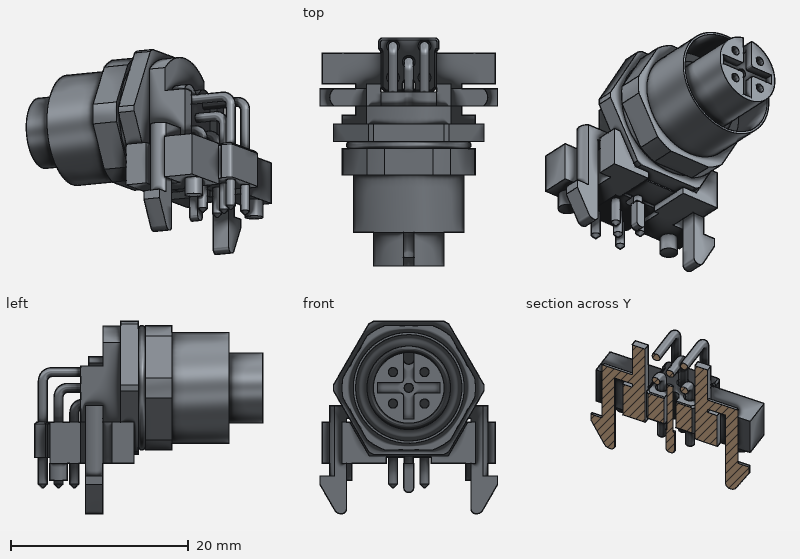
import cadquery as cq
import math


FLANGE_APOTHEM = 7.5
FLANGE_CORNER_RADIUS = 8.48
FLANGE_BACK = 2.0
SEAL_WIDTH = 0.77
NUT_APOTHEM = 7.0
NUT_CORNER_RADIUS = 7.5
NUT_FRONT = -3.75
NUT_BACK = -SEAL_WIDTH
SHELL_RADIUS = 6.25
SHELL_BORE_RADIUS = 6.0
SHELL_FRONT = -10.2
BORE_DEPTH = 5.1
BORE_FLOOR = SHELL_FRONT + BORE_DEPTH

INSERT_RADIUS = 3.98
INSERT_FRONT = -14.0
SLOT_WIDTH = 1.2
SLOT_REACH = 3.5
SLOT_DEPTH = 1.0
SLOT_CORNER_FILLET = 0.25
KEYWAY_BOTTOM = 2.65
CONTACT_OFFSET = 1.77
SOCKET_RADIUS = 0.51
SOCKET_DEPTH = 5.15

CARRIER_HALF_WIDTH = 4.78
CARRIER_RADIUS = 7.0
CARRIER_BACK = 4.0
COLUMN_TOP = 2.47
COLUMN_BACK = 6.5
RECESS_HALF_WIDTH = 3.14
BOSS_RADIUS = 1.67
BOSS_TOP = 3.52
BOSS_VALLEY_RADIUS = 0.6
BOSS_BACK = 5.6

BASE_TOP = -3.85
BASE_BOTTOM = -8.5
FOOT_HALF_WIDTH = 7.5
FOOT_FRONT = 0.5
FOOT_BACK = 3.0
WEB_HALF_WIDTH = 6.0
RAIL_HALF_WIDTH = 9.75
RAIL_BACK = 9.97
POCKET_APOTHEM = 7.68
NOTCH_HALF_WIDTH = 2.52
PEG_RADIUS = 1.0
PEG_OFFSET = 7.4
PEG_BOTTOM = -10.4

CLIP_FRONT = CARRIER_BACK
CLIP_BACK = 6.0
CLIP_TOP = -2.0
CLIP_ARM_BOTTOM = -3.45
CLIP_INNER = 7.0
CLIP_OUTER = 8.9
CLIP_EDGE_BULGE = 0.51
HOOK_REACH = 10.0
HOOK_LEDGE = -9.92
HOOK_SLOPE_START = -10.9
HOOK_SLOPE_ANGLE = 60
HOOK_BOTTOM = -14.19
HOOK_OUTER_FILLET = 0.77
HOOK_INNER_FILLET = 0.6

PIN_RADIUS = 0.51
PIN_BEND_RADIUS = 1.03
PIN_ROW_CENTER = 9.0
PIN_SHOULDER = -10.82
PIN_TIP = -11.25
PIN_TIP_RADIUS = 0.08
SHIELD_TAB_WIDTH = 1.13
SHIELD_TAB_BOTTOM = -11.77
SHIELD_TAB_FILLET = 0.51

GUIDE_BACK = 11.7
GUIDE_BOTTOM = -7.86
GUIDE_HEAD_HALF_WIDTH = 3.4
GUIDE_NECK_HALF_WIDTH = 3.19
GUIDE_HEAD_LENGTH = 1.23
GUIDE_HEAD_FILLET = 0.5
GUIDE_FRONT_CORNER = 0.45
GUIDE_CHAMFER = 0.23
PIN_HOLE_RADIUS = 0.72
GUIDE_SLOT_CENTER = 6.42

INNER_SEAL_WIDTH = 0.72


def box(x_range, y_range, z_range):
    """Block spanning the given ranges along the three axes."""
    sizes = [high - low for low, high in (x_range, y_range, z_range)]
    corner = cq.Vector(x_range[0], y_range[0], z_range[0])
    return cq.Workplane(cq.Solid.makeBox(*sizes, pnt=corner))


def centered_box(half_width, y_range, z_range):
    """Block symmetric about the YZ plane."""
    return box((-half_width, half_width), y_range, z_range)


def axial_plane(y):
    """XZ sketch plane at the given Y whose positive extrusion runs to the rear."""
    return cq.Workplane(cq.Plane(origin=(0, y, 0), xDir=(-1, 0, 0), normal=(0, 1, 0)))


def disc(radius, front, back, x=0, z=0):
    """Cylinder along Y, centred at the given X and Z."""
    return axial_plane(front).center(-x, z).circle(radius).extrude(back - front)


def post(radius, x, y, bottom, top):
    """Vertical cylinder."""
    return cq.Workplane("XY", origin=(x, y, bottom)).circle(radius).extrude(top - bottom)


def hexagon(apothem, front, back):
    """Hexagonal prism along Y with flats at top and bottom."""
    across_corners = 2 * apothem / math.cos(math.radians(30))
    return axial_plane(front).polygon(6, across_corners).extrude(back - front)


def rounded_hexagon(apothem, corner_radius, front, back):
    """Hexagonal prism whose corners are turned down to a cylinder."""
    return hexagon(apothem, front, back).intersect(disc(corner_radius, front, back))


def mirrored(half):
    """A left-hand shape together with its right-hand twin."""
    return half.union(half.mirror("YZ"))


def contact_positions():
    """X and height of each contact: two above, one on and two below the axis."""
    offsets = (-CONTACT_OFFSET, CONTACT_OFFSET)
    outer = [(x, z) for x in offsets for z in offsets]
    return outer + [(0, 0)]


def make_metal_front():
    """Flange, nut and threaded shell, bored from the front."""
    flange = rounded_hexagon(FLANGE_APOTHEM, FLANGE_CORNER_RADIUS, 0, FLANGE_BACK)
    nut = rounded_hexagon(NUT_APOTHEM, NUT_CORNER_RADIUS, NUT_FRONT, NUT_BACK)
    shell = disc(SHELL_RADIUS, SHELL_FRONT, 0)
    bore = disc(SHELL_BORE_RADIUS, SHELL_FRONT, BORE_FLOOR)
    return flange.union(nut).union(shell).cut(bore)


def make_insert():
    """Contact insert with cross slot, keyway and five sockets."""
    half_slot = SLOT_WIDTH / 2
    slot_floor = INSERT_FRONT + SLOT_DEPTH
    slot_range = (INSERT_FRONT, slot_floor)
    insert = disc(INSERT_RADIUS, INSERT_FRONT, BORE_FLOOR)

    cross = centered_box(half_slot, slot_range, (-SLOT_REACH, INSERT_RADIUS))
    cross = cross.union(centered_box(SLOT_REACH, slot_range, (-half_slot, half_slot)))
    inner_corners = cq.selectors.BoxSelector(
        (-SLOT_WIDTH, INSERT_FRONT, -SLOT_WIDTH), (SLOT_WIDTH, slot_floor, SLOT_WIDTH)
    )
    cross = cross.edges("|Y").edges(inner_corners).fillet(SLOT_CORNER_FILLET)

    key_center = KEYWAY_BOTTOM + half_slot
    keyway = centered_box(half_slot, (INSERT_FRONT, BORE_FLOOR), (key_center, INSERT_RADIUS))
    keyway = keyway.union(disc(half_slot, INSERT_FRONT, BORE_FLOOR, z=key_center))
    insert = insert.cut(cross).cut(keyway)

    for x, z in contact_positions():
        insert = insert.cut(disc(SOCKET_RADIUS, INSERT_FRONT, INSERT_FRONT + SOCKET_DEPTH, x, z))
    return insert


def make_bosses(bottom):
    """Block with twin rounded bosses around the upper contacts, joined by a tangent valley."""
    crown_center = BOSS_TOP - BOSS_RADIUS
    lean = math.asin(CONTACT_OFFSET / (BOSS_RADIUS + BOSS_VALLEY_RADIUS))
    tangent_x = BOSS_VALLEY_RADIUS * math.sin(lean)
    tangent_z = crown_center + BOSS_RADIUS * math.cos(lean)
    valley_center = tangent_z + BOSS_VALLEY_RADIUS * math.cos(lean)
    side_x = RECESS_HALF_WIDTH
    side_rise = math.sqrt(BOSS_RADIUS**2 - (side_x - CONTACT_OFFSET) ** 2)
    side_z = crown_center + side_rise
    return (
        axial_plane(CARRIER_BACK)
        .moveTo(-side_x, bottom)
        .lineTo(-side_x, side_z)
        .threePointArc((-CONTACT_OFFSET, BOSS_TOP), (-tangent_x, tangent_z))
        .threePointArc((0, valley_center - BOSS_VALLEY_RADIUS), (tangent_x, tangent_z))
        .threePointArc((CONTACT_OFFSET, BOSS_TOP), (side_x, side_z))
        .lineTo(side_x, bottom)
        .close()
        .extrude(BOSS_BACK - CARRIER_BACK)
    )


def make_carrier():
    """Round-topped carrier, its two rear columns and the contact bosses."""
    bottom = -POCKET_APOTHEM
    plate_range = (FLANGE_BACK, CARRIER_BACK)
    round_top = disc(CARRIER_RADIUS, *plate_range)
    round_top = round_top.intersect(centered_box(CARRIER_HALF_WIDTH, plate_range, (0, CARRIER_RADIUS)))
    plate = centered_box(CARRIER_HALF_WIDTH, plate_range, (bottom, 0))
    column = box(
        (-CARRIER_HALF_WIDTH, -RECESS_HALF_WIDTH), (CARRIER_BACK, COLUMN_BACK), (bottom, COLUMN_TOP)
    )
    return plate.union(round_top).union(mirrored(column)).union(make_bosses(bottom))


def make_base():
    """Front feet, webs and rear rails with pegs, notched around flange and pins."""
    heights = (BASE_BOTTOM, BASE_TOP)
    feet = centered_box(FOOT_HALF_WIDTH, (FOOT_FRONT, FOOT_BACK), heights)
    webs = centered_box(WEB_HALF_WIDTH, (FOOT_BACK, COLUMN_BACK), heights)
    rails = centered_box(RAIL_HALF_WIDTH, (COLUMN_BACK, RAIL_BACK), heights)
    base = feet.union(webs).union(rails)

    flange_pocket = hexagon(POCKET_APOTHEM, 0, FLANGE_BACK)
    recess = centered_box(RECESS_HALF_WIDTH, (BOSS_BACK, RAIL_BACK), heights)
    notch = centered_box(NOTCH_HALF_WIDTH, (0, BOSS_BACK), (BASE_BOTTOM, -POCKET_APOTHEM))
    base = base.cut(flange_pocket).cut(recess).cut(notch)

    peg = post(PEG_RADIUS, -PEG_OFFSET, PIN_ROW_CENTER, PEG_BOTTOM, BASE_BOTTOM)
    return base.union(mirrored(peg))


def make_clips():
    """Snap clips: an arm from the carrier, a round-edged leg and a hook."""
    thickness = CLIP_BACK - CLIP_FRONT
    hook_drop = HOOK_SLOPE_START - HOOK_BOTTOM
    hook_toe = HOOK_REACH - hook_drop / math.tan(math.radians(HOOK_SLOPE_ANGLE))
    leg_edge = CLIP_OUTER - CLIP_EDGE_BULGE

    hook = (
        axial_plane(CLIP_FRONT)
        .moveTo(CLIP_INNER, HOOK_LEDGE)
        .lineTo(HOOK_REACH, HOOK_LEDGE)
        .lineTo(HOOK_REACH, HOOK_SLOPE_START)
        .lineTo(hook_toe, HOOK_BOTTOM)
        .lineTo(CLIP_INNER, HOOK_BOTTOM)
        .close()
        .extrude(thickness)
    )
    hook = hook.faces("<Z").edges("|Y").edges("<X").fillet(HOOK_OUTER_FILLET)
    hook = hook.faces("<Z").edges("|Y").edges(">X").fillet(HOOK_INNER_FILLET)

    leg = (
        cq.Workplane("XY", origin=(0, 0, HOOK_LEDGE))
        .moveTo(-CLIP_INNER, CLIP_FRONT)
        .lineTo(-leg_edge, CLIP_FRONT)
        .threePointArc((-CLIP_OUTER, (CLIP_FRONT + CLIP_BACK) / 2), (-leg_edge, CLIP_BACK))
        .lineTo(-CLIP_INNER, CLIP_BACK)
        .close()
        .extrude(CLIP_TOP - HOOK_LEDGE)
    )
    arm = box(
        (-CLIP_INNER, -CARRIER_HALF_WIDTH), (CLIP_FRONT, CLIP_BACK), (CLIP_ARM_BOTTOM, CLIP_TOP)
    )
    return mirrored(hook.union(leg).union(arm))


def guide_outline():
    """Right half of the guide plate outline: chamfered front corner, neck and wider head."""
    step = GUIDE_HEAD_HALF_WIDTH - GUIDE_NECK_HALF_WIDTH
    head_front = GUIDE_BACK - GUIDE_HEAD_LENGTH
    return [
        (RECESS_HALF_WIDTH - GUIDE_FRONT_CORNER, BOSS_BACK),
        (RECESS_HALF_WIDTH, BOSS_BACK + GUIDE_FRONT_CORNER),
        (RECESS_HALF_WIDTH, RAIL_BACK),
        (GUIDE_NECK_HALF_WIDTH, RAIL_BACK),
        (GUIDE_NECK_HALF_WIDTH, head_front - step),
        (GUIDE_HEAD_HALF_WIDTH, head_front),
        (GUIDE_HEAD_HALF_WIDTH, GUIDE_BACK),
    ]


def lead_in(x, y):
    """Countersink where a pin enters the guide plate."""
    depth = PIN_HOLE_RADIUS - PIN_RADIUS
    cone = cq.Solid.makeCone(
        PIN_HOLE_RADIUS, PIN_RADIUS, depth, pnt=cq.Vector(x, y, BASE_TOP), dir=cq.Vector(0, 0, -1)
    )
    return cq.Workplane(cone)


def make_guide_plate():
    """Plate between the rails that the pins pass through."""
    right_side = guide_outline()
    left_side = [(-x, y) for x, y in reversed(right_side)]
    plate = (
        cq.Workplane("XY", origin=(0, 0, GUIDE_BOTTOM))
        .polyline(right_side + left_side)
        .close()
        .extrude(BASE_TOP - GUIDE_BOTTOM)
    )
    plate = plate.faces(">Y").edges("|Z").fillet(GUIDE_HEAD_FILLET)
    plate = plate.faces(">Z").edges().chamfer(GUIDE_CHAMFER)
    plate = plate.faces("<Z").edges("<Y").chamfer(GUIDE_CHAMFER)

    slot_heights = (GUIDE_BOTTOM, BASE_TOP)
    slot = centered_box(PIN_HOLE_RADIUS, (BOSS_BACK, GUIDE_SLOT_CENTER), slot_heights)
    slot = slot.union(post(PIN_HOLE_RADIUS, 0, GUIDE_SLOT_CENTER, *slot_heights))
    plate = plate.cut(slot)
    for x, level in contact_positions():
        plate = plate.cut(lead_in(x, PIN_ROW_CENTER + level))
    return plate


def make_pin(x, level):
    """Round pin leaving the carrier rearward and bending down to a pointed tail."""
    tail_y = PIN_ROW_CENTER + level
    bend_start = tail_y - PIN_BEND_RADIUS
    bend_end = level - PIN_BEND_RADIUS
    diagonal = PIN_BEND_RADIUS * math.sqrt(0.5)
    path = (
        cq.Workplane("YZ", origin=(x, 0, 0))
        .moveTo(CARRIER_BACK, level)
        .lineTo(bend_start, level)
        .threePointArc((bend_start + diagonal, bend_end + diagonal), (tail_y, bend_end))
        .lineTo(tail_y, PIN_SHOULDER)
    )
    pin = axial_plane(CARRIER_BACK).center(-x, level).circle(PIN_RADIUS).sweep(path)
    point = cq.Solid.makeCone(
        PIN_RADIUS,
        PIN_TIP_RADIUS,
        PIN_SHOULDER - PIN_TIP,
        pnt=cq.Vector(x, tail_y, PIN_SHOULDER),
        dir=cq.Vector(0, 0, -1),
    )
    return pin.union(cq.Workplane(point))


def make_shield_tab():
    """Shield contact: a round post under the carrier ending in a flat tab."""
    y = PIN_ROW_CENTER - 2 * CONTACT_OFFSET
    stem = post(PIN_RADIUS, 0, y, BASE_BOTTOM, -CONTACT_OFFSET)
    tab = centered_box(
        SHIELD_TAB_WIDTH / 2, (y - PIN_RADIUS, y + PIN_RADIUS), (SHIELD_TAB_BOTTOM, BASE_BOTTOM)
    )
    tab = tab.faces("<Z").edges("|Y").fillet(SHIELD_TAB_FILLET)
    return stem.union(tab)


def make_connector():
    """The whole connector apart from its two seal rings."""
    connector = make_metal_front().union(make_insert()).union(make_carrier()).union(make_base())
    connector = connector.union(make_clips()).union(make_guide_plate()).union(make_shield_tab())
    for x, level in contact_positions():
        connector = connector.union(make_pin(x, level))
    return connector


def make_seal(width, inner_radius, back):
    """O-ring around the Y axis whose rear touches the plane at `back`."""
    tube_radius = width / 2
    center = cq.Vector(0, back - tube_radius, 0)
    return cq.Solid.makeTorus(inner_radius + tube_radius, tube_radius, center, cq.Vector(0, 1, 0))


connector = make_connector()
flange_seal = make_seal(SEAL_WIDTH, SHELL_RADIUS, 0)
mating_seal = make_seal(INNER_SEAL_WIDTH, INSERT_RADIUS, BORE_FLOOR)

result = cq.Compound.makeCompound([connector.solids().val(), flange_seal, mating_seal])